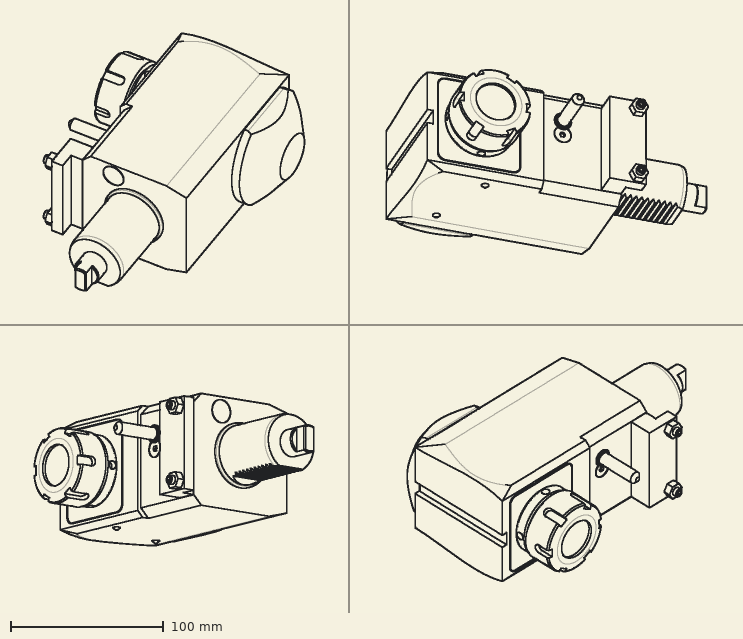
import cadquery as cq
import math


BODY_BACK = 136.0
BODY_HALF_HEIGHT = 37.5
BODY_RIGHT = 39.0
BODY_LEFT = -42.0
MOUNT_LEFT = -39.3
MOUNT_LENGTH = 55.1
REAR_CHAMFER = 4.2
MOUNT_CHAMFER = 6.2
SLOPE_START = 24.0
SLOPE_ANGLE = 15.0
BACK_SLOT_WIDTH = 10.0
BACK_SLOT_DEPTH = 4.0
CROWN_REACH = 12.5
CROWN_BACK_POINTS = [(-25.0, 36.6), (8.3, 35.5)]
CROWN_TOP_POINTS = [(-25.8, 130.8), (-14.0, 133.1), (2.0, 131.0)]
PLUG_X = -16.0
PLUG_Z = 27.7
PLUG_RADIUS = 7.7
MARK_DEPTH = 0.5

COVER_LENGTH = 57.6
COVER_HEIGHT = 62.5
COVER_CORNER = 5.5
COVER_GROOVE = 0.5

SPINDLE_Y = 100.0
NUT_FACE = -74.7
NUT_RIM = -73.5
NUT_BEVEL_END = -72.0
NUT_BACK = -52.6
COLLAR_FRONT = -50.0
NUT_RADIUS = 25.0
NUT_RIM_RADIUS = 24.3
NUT_FACE_RADIUS = 17.9
BORE_RADIUS = 13.7
BORE_DEPTH = 2.0
NECK_RADIUS = 20.5
COLLAR_RADIUS = 24.0
RELIEF_RADIUS = 23.0
RELIEF_WIDTH = 0.8
SLOT_COUNT = 6
SLOT_WIDTH = 6.2
SLOT_END = -57.8
SIDE_SLOT_END = -61.5
SLOT_FLOOR_RADIUS = 21.6
COLLAR_HOLE_COUNT = 4
COLLAR_HOLE_X = -46.2
COLLAR_HOLE_RADIUS = 2.7
COLLAR_HOLE_DEPTH = 4.2

CAP_RADIUS = 40.1
CAP_EDGE = 45.0
CAP_END = 62.0
CAP_END_RADIUS = 16.2
CAP_HALF_HEIGHT = 32.7
CAP_BACK = 131.5

SHANK_RADIUS = 20.0
SHANK_LENGTH = 52.6
SHANK_BEVEL_LENGTH = 3.0
SHANK_BEVEL = 0.8
RING_RADIUS = 21.6
RING_LENGTH = 2.5
RING_FILLET = 1.0
RACK_DEPTH = 16.2
RACK_RUNOUT_START = 6.7
TOOTH_PITCH = 4.0
TOOTH_HEIGHT = 1.7
TOOTH_GAP = 3.1
GAP_COUNT = 10
LAST_GAP_Y = -47.0
DRIVE_RADIUS = 9.2
DRIVE_SHOULDER = 64.0
TANG_LENGTH = 72.0
TANG_WIDTH = 8.5
DRIVE_CHAMFER = 0.8

BRACKET_LEFT = -56.4
BRACKET_LEG_THICKNESS = 8.3
BRACKET_BACK = 14.4
BRACKET_STEP = 0.5
BRACKET_FRONT = -10.8
BRACKET_HALF_HEIGHT = 31.0
STUD_Y = -5.0
STUD_Z = 25.0
HEX_FLATS = 10.0
HEX_THICKNESS = 5.0
STUD_RADIUS = 3.0
STUD_LENGTH = 8.1
STUD_CHAMFER = 0.5

PIN_Y = 41.0
PIN_Z = 16.0
PIN_END = -72.2
PIN_RADIUS = 4.2
PIN_CHAMFER = 2.5
PIN_BASE_RADIUS = 5.8
PIN_BASE_LENGTH = 1.2
SCREW_Z = 6.2
SOCKET_FLATS = 3.3
SOCKET_DEPTH = 2.0

TIP_PLACES = [(-30.2, 91.7), (16.8, 109.0)]
TIP_RADIUS = 2.5
TIP_END_RADIUS = 0.6
TIP_HEIGHT = 1.7

OVERLAP = 2.0


def x_plane(x, y, z):
    """Plane facing -X: local x runs along -Y, local y along Z."""
    return cq.Plane(origin=(x, y, z), xDir=(0, -1, 0), normal=(-1, 0, 0))


def rod(x_start, x_end, y, z, radius):
    return cq.Workplane(x_plane(x_start, y, z)).circle(radius).extrude(x_start - x_end)


def hexagon(x_start, depth, y, z, flats):
    across_corners = flats / math.cos(math.pi / 6)
    return cq.Workplane(x_plane(x_start, y, z)).polygon(6, across_corners).extrude(depth)


def slope_drop(x):
    return (x - SLOPE_START) * math.tan(math.radians(SLOPE_ANGLE))


def body_prism(left, chamfer, y_start, y_end):
    top = BODY_HALF_HEIGHT
    right_z = top - slope_drop(BODY_RIGHT)
    outline = [
        (left, chamfer - top),
        (left, top - chamfer),
        (left + chamfer, top),
        (SLOPE_START, top),
        (BODY_RIGHT, right_z),
        (BODY_RIGHT, -right_z),
        (SLOPE_START, -top),
        (left + chamfer, -top),
    ]
    plane = cq.Workplane("XZ", origin=(0, y_start, 0))
    return plane.polyline(outline).close().extrude(y_start - y_end)


def crown_cutter():
    """Material above the curved face that rounds off the upper rear edge."""
    top = BODY_HALF_HEIGHT
    front = BODY_BACK - CROWN_REACH
    back_edge = cq.Edge.makeSpline([
        cq.Vector(BODY_LEFT, BODY_BACK, top - REAR_CHAMFER),
        *[cq.Vector(x, BODY_BACK, z) for x, z in CROWN_BACK_POINTS],
        cq.Vector(BODY_RIGHT, BODY_BACK, top - slope_drop(BODY_RIGHT)),
    ])
    top_edge = cq.Edge.makeSpline([
        cq.Vector(BODY_LEFT + REAR_CHAMFER, front, top),
        *[cq.Vector(x, y, top) for x, y in CROWN_TOP_POINTS],
        cq.Vector(SLOPE_START, front, top),
    ])
    face = cq.Face.makeRuledSurface(back_edge, top_edge)
    return cq.Workplane(cq.Solid.extrudeLinear(face, cq.Vector(0, 0, BODY_HALF_HEIGHT)))


def make_body():
    body = body_prism(MOUNT_LEFT, MOUNT_CHAMFER, 0, MOUNT_LENGTH)
    body = body.union(body_prism(BODY_LEFT, REAR_CHAMFER, MOUNT_LENGTH, BODY_BACK))
    crown = crown_cutter()
    body = body.cut(crown).cut(crown.mirror("XY"))
    slot = cq.Workplane("XY").box(
        BODY_RIGHT - BODY_LEFT, BACK_SLOT_DEPTH, BACK_SLOT_WIDTH, centered=(False, False, True)
    ).translate((BODY_LEFT, BODY_BACK - BACK_SLOT_DEPTH, 0))
    plug = cq.Workplane("XZ").center(PLUG_X, PLUG_Z).circle(PLUG_RADIUS).extrude(-MARK_DEPTH)
    return body.cut(slot).cut(plug)


def cover_groove_cutter():
    def block(margin):
        return (
            cq.Workplane(x_plane(BODY_LEFT + COVER_GROOVE, SPINDLE_Y, 0))
            .rect(COVER_LENGTH - 2 * margin, COVER_HEIGHT - 2 * margin)
            .extrude(COVER_GROOVE)
            .edges("|X")
            .fillet(COVER_CORNER - margin)
        )

    return block(0).cut(block(COVER_GROOVE))


def revolve_about_spindle(profile):
    """Turn an (x, radius) profile about the spindle axis."""
    plane = cq.Workplane("XY", origin=(0, SPINDLE_Y, 0))
    return plane.polyline(profile).close().revolve(360, (0, 0, 0), (1, 0, 0))


def nut_slot(slot_end):
    """Round-ended spanner slot on the upper side of the nut, open at the nut face."""
    end_centre = slot_end - SLOT_WIDTH / 2
    return (
        cq.Workplane("XY", origin=(0, SPINDLE_Y, SLOT_FLOOR_RADIUS))
        .moveTo(NUT_FACE, -SLOT_WIDTH / 2)
        .lineTo(end_centre, -SLOT_WIDTH / 2)
        .threePointArc((slot_end, 0), (end_centre, SLOT_WIDTH / 2))
        .lineTo(NUT_FACE, SLOT_WIDTH / 2)
        .close()
        .extrude(NUT_RADIUS)
    )


def make_collet_nut():
    nut = revolve_about_spindle([
        (BODY_LEFT + OVERLAP, 0),
        (BODY_LEFT + OVERLAP, RELIEF_RADIUS),
        (BODY_LEFT - RELIEF_WIDTH, RELIEF_RADIUS),
        (BODY_LEFT - RELIEF_WIDTH, COLLAR_RADIUS),
        (COLLAR_FRONT, COLLAR_RADIUS),
        (COLLAR_FRONT, NECK_RADIUS),
        (NUT_BACK, NECK_RADIUS),
        (NUT_BACK, NUT_RADIUS),
        (NUT_BEVEL_END, NUT_RADIUS),
        (NUT_RIM, NUT_RIM_RADIUS),
        (NUT_FACE, NUT_FACE_RADIUS),
        (NUT_FACE, BORE_RADIUS),
        (NUT_FACE + BORE_DEPTH, BORE_RADIUS),
        (NUT_FACE + BORE_DEPTH, 0),
    ])
    hole = (
        cq.Workplane("XY", origin=(COLLAR_HOLE_X, SPINDLE_Y, COLLAR_RADIUS - COLLAR_HOLE_DEPTH))
        .circle(COLLAR_HOLE_RADIUS)
        .extrude(COLLAR_RADIUS)
    )
    axis = ((0, SPINDLE_Y, 0), (1, SPINDLE_Y, 0))
    for i in range(SLOT_COUNT):
        angle = 360 / SLOT_COUNT * (i + 0.5)
        slot_end = SIDE_SLOT_END if angle in (90, 270) else SLOT_END
        nut = nut.cut(nut_slot(slot_end).rotate(*axis, angle))
    for i in range(COLLAR_HOLE_COUNT):
        nut = nut.cut(hole.rotate(*axis, 360 / COLLAR_HOLE_COUNT * i))
    return nut


def make_cap():
    start = BODY_RIGHT - OVERLAP
    cap = revolve_about_spindle([
        (start, 0),
        (start, CAP_RADIUS),
        (CAP_EDGE, CAP_RADIUS),
        (CAP_END, CAP_END_RADIUS),
        (CAP_END, 0),
    ])
    flat_start = SLOPE_START + (BODY_HALF_HEIGHT - CAP_HALF_HEIGHT) / math.tan(math.radians(SLOPE_ANGLE))
    end_z = BODY_HALF_HEIGHT - slope_drop(CAP_END)
    envelope = (
        cq.Workplane("XZ", origin=(0, CAP_BACK, 0))
        .polyline([
            (start, -CAP_HALF_HEIGHT),
            (flat_start, -CAP_HALF_HEIGHT),
            (CAP_END, -end_z),
            (CAP_END, end_z),
            (flat_start, CAP_HALF_HEIGHT),
            (start, CAP_HALF_HEIGHT),
        ])
        .close()
        .extrude(CAP_BACK)
    )
    return cap.intersect(envelope)


def make_shank():
    shank = cq.Workplane("XZ", origin=(0, OVERLAP, 0)).circle(SHANK_RADIUS).extrude(SHANK_LENGTH + OVERLAP)
    shank = shank.faces("<Y").chamfer(SHANK_BEVEL_LENGTH, SHANK_BEVEL)
    ring = cq.Workplane("XZ").circle(RING_RADIUS).extrude(RING_LENGTH)
    ring = ring.faces("<Y").edges().fillet(RING_FILLET)

    runout_end = RACK_RUNOUT_START - (SHANK_RADIUS - RACK_DEPTH)
    flat = (
        cq.Workplane("YZ")
        .polyline([
            (-SHANK_LENGTH, -RACK_DEPTH),
            (-RACK_RUNOUT_START, -RACK_DEPTH),
            (-runout_end, -SHANK_RADIUS),
            (-SHANK_LENGTH, -SHANK_RADIUS),
        ])
        .close()
        .extrude(SHANK_RADIUS, both=True)
    )
    shank = shank.cut(flat)
    for i in range(GAP_COUNT):
        gap_y = LAST_GAP_Y + i * TOOTH_PITCH
        gap = (
            cq.Workplane("YZ")
            .polyline([
                (gap_y - TOOTH_GAP / 2, -RACK_DEPTH),
                (gap_y, TOOTH_HEIGHT - RACK_DEPTH),
                (gap_y + TOOTH_GAP / 2, -RACK_DEPTH),
            ])
            .close()
            .extrude(SHANK_RADIUS, both=True)
        )
        shank = shank.cut(gap)
    return shank.union(ring)


def make_drive():
    """Round drive end with a flat tang."""
    start = OVERLAP - SHANK_LENGTH
    drive = cq.Workplane("XZ", origin=(0, start, 0)).circle(DRIVE_RADIUS).extrude(DRIVE_SHOULDER + start)
    drive = drive.faces("<Y").chamfer(DRIVE_CHAMFER)
    tang_bar = cq.Workplane("XZ", origin=(0, start, 0)).circle(DRIVE_RADIUS).extrude(TANG_LENGTH + start)
    tang_slab = cq.Workplane("XY").box(TANG_WIDTH, 2 * TANG_LENGTH, 2 * DRIVE_RADIUS)
    tang = tang_bar.intersect(tang_slab).faces("<Y").chamfer(DRIVE_CHAMFER)
    return drive.union(tang)


def make_bracket():
    leg_right = BRACKET_LEFT + BRACKET_LEG_THICKNESS
    inside = MOUNT_LEFT + OVERLAP
    bracket = (
        cq.Workplane("XY")
        .polyline([
            (inside, BRACKET_BACK),
            (BRACKET_LEFT, BRACKET_BACK),
            (BRACKET_LEFT, BRACKET_FRONT),
            (leg_right, BRACKET_FRONT),
            (leg_right, BRACKET_STEP),
            (inside, BRACKET_STEP),
        ])
        .close()
        .extrude(BRACKET_HALF_HEIGHT, both=True)
    )
    stud_end = BRACKET_LEFT - STUD_LENGTH
    for z in (-STUD_Z, STUD_Z):
        stud = rod(BRACKET_LEFT + OVERLAP, stud_end, STUD_Y, z, STUD_RADIUS)
        stud = stud.faces("<X").chamfer(STUD_CHAMFER)
        nut = hexagon(BRACKET_LEFT + OVERLAP, HEX_THICKNESS + OVERLAP, STUD_Y, z, HEX_FLATS)
        bracket = bracket.union(nut).union(stud)
        bracket = bracket.cut(hexagon(stud_end + SOCKET_DEPTH, SOCKET_DEPTH, STUD_Y, z, SOCKET_FLATS))
    return bracket


def make_pin():
    inside = MOUNT_LEFT + OVERLAP
    pin = rod(inside, PIN_END, PIN_Y, PIN_Z, PIN_RADIUS).faces("<X").chamfer(PIN_CHAMFER)
    base = rod(inside, MOUNT_LEFT - PIN_BASE_LENGTH, PIN_Y, PIN_Z, PIN_BASE_RADIUS)
    base = base.faces("<X").chamfer(PIN_BASE_LENGTH / 2)
    return pin.union(base)


def screw_head_cutter():
    head = rod(MOUNT_LEFT + MARK_DEPTH, MOUNT_LEFT, PIN_Y, SCREW_Z, PIN_BASE_RADIUS)
    socket = hexagon(MOUNT_LEFT + SOCKET_DEPTH, SOCKET_DEPTH, PIN_Y, SCREW_Z, SOCKET_FLATS)
    return head.union(socket)


def make_tip(x, y):
    plane = cq.Workplane("XY", origin=(x, y, -BODY_HALF_HEIGHT))
    return plane.circle(TIP_RADIUS).workplane(offset=-TIP_HEIGHT).circle(TIP_END_RADIUS).loft()


result = make_body().cut(cover_groove_cutter()).cut(screw_head_cutter())
for piece in (make_collet_nut(), make_cap(), make_shank(), make_drive(), make_bracket(), make_pin()):
    result = result.union(piece)
for tip_x, tip_y in TIP_PLACES:
    result = result.union(make_tip(tip_x, tip_y))